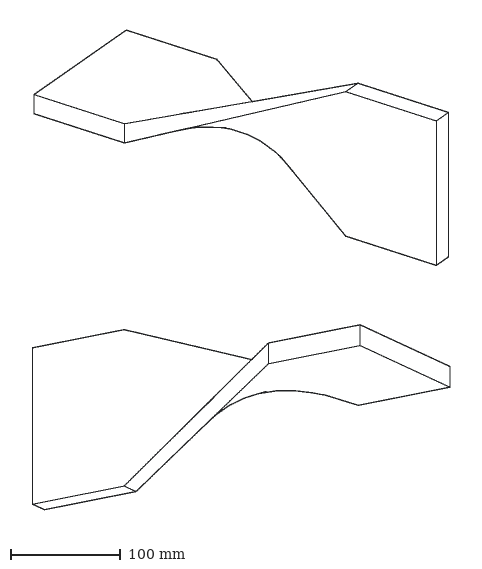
import cadquery as cq

total_length = 400.0
plate_length = 100.0
width = 150.0
thickness = 20.0

twist_length = total_length - 2 * plate_length
twist_start = -twist_length / 2
twist_end = twist_length / 2


def plate(center_x, size_y, size_z):
    """Flat rectangular end plate."""
    return cq.Workplane("XY").box(plate_length, size_y, size_z).translate((center_x, 0, 0))


def quarter_twist():
    """Solid joining a horizontal section to the same section turned by 90 degrees about X."""
    half_width = width / 2
    half_thickness = thickness / 2
    section = [
        (-half_width, -half_thickness),
        (half_width, -half_thickness),
        (half_width, half_thickness),
        (-half_width, half_thickness),
    ]
    start = [cq.Vector(twist_start, y, z) for y, z in section]
    end = [cq.Vector(twist_end, z, -y) for y, z in section]

    faces = [cq.Face.makeFromWires(cq.Wire.makePolygon(corners, close=True)) for corners in (start, end)]
    for i in range(len(section)):
        j = (i + 1) % len(section)
        start_edge = cq.Edge.makeLine(start[i], start[j])
        end_edge = cq.Edge.makeLine(end[i], end[j])
        faces.append(cq.Face.makeRuledSurface(start_edge, end_edge))
    return cq.Workplane("XY").newObject([cq.Solid.makeSolid(cq.Shell.makeShell(faces))])


horizontal_plate = plate(twist_start - plate_length / 2, width, thickness)
vertical_plate = plate(twist_end + plate_length / 2, thickness, width)

result = horizontal_plate.union(quarter_twist()).union(vertical_plate)